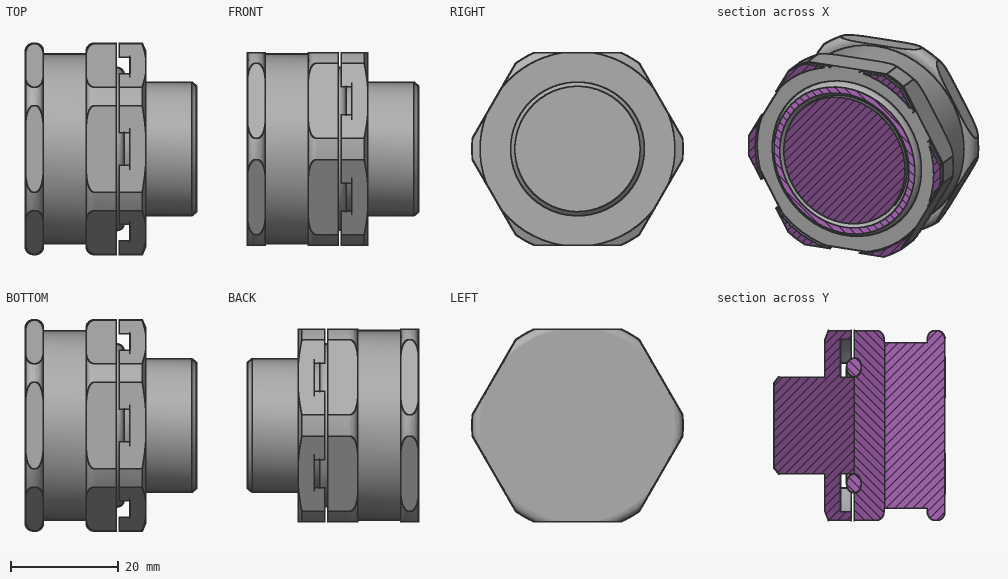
import cadquery as cq
import math

ACROSS_FLATS = 36.0
CORNER_DIAMETER = 39.48
CORNER_RADIUS = CORNER_DIAMETER / 2
CORNER_ROUND = 1.55

CAP_HEAD_END = 3.4
NUT_START = 11.37
NUT_END = 17.0
FITTING_HEX_START = 17.53
FITTING_HEX_END = 22.5
OVERALL_LENGTH = 32.0

CAP_BARREL_DIAMETER = 35.5

SPIGOT_DIAMETER = 25.0
SPIGOT_CHAMFER_LENGTH = 0.9
SPIGOT_CHAMFER_HEIGHT = 0.8
HEX_CHAMFER_LENGTH = 0.67
RECESS_DEPTH = 2.0
WINDOW_WIDTH = 6.08
RECESS_RADIUS = math.hypot(ACROSS_FLATS / 2, WINDOW_WIDTH / 2)

RING_OUTER_DIAMETER = 30.48
RING_SECTION_RADIUS = (RING_OUTER_DIAMETER - SPIGOT_DIAMETER) / 4
RING_CENTRE_RADIUS = SPIGOT_DIAMETER / 2 + RING_SECTION_RADIUS
RING_STATION = 17.1


def cylinder(start, end, radius):
    """Cylinder along X between two stations."""
    return cq.Workplane("YZ", origin=(start, 0, 0)).circle(radius).extrude(end - start)


def hexagon(start, end):
    """Sharp hexagonal prism along X with flats facing +Z and -Z."""
    across_corners = ACROSS_FLATS / math.cos(math.pi / 6)
    return cq.Workplane("YZ", origin=(start, 0, 0)).polygon(6, across_corners).extrude(end - start)


def make_cap():
    """Closed cap: a hexagonal head rounded at both ends and a plain barrel."""
    envelope = cylinder(0, CAP_HEAD_END, CORNER_RADIUS).edges("%CIRCLE").fillet(CORNER_ROUND)
    head = hexagon(0, CAP_HEAD_END).intersect(envelope)
    barrel = cylinder(CAP_HEAD_END, NUT_START, CAP_BARREL_DIAMETER / 2)
    return head.union(barrel)


def make_sealing_ring():
    """Ring of round section that fits the neck of the fitting."""
    torus = cq.Solid.makeTorus(
        RING_CENTRE_RADIUS, RING_SECTION_RADIUS, cq.Vector(RING_STATION, 0, 0), cq.Vector(1, 0, 0)
    )
    return cq.Workplane(torus)


def make_nut(seal):
    """Hexagonal nut, rounded on the side of the cap, with a groove for the seal on the other."""
    envelope = cylinder(NUT_START, NUT_END, CORNER_RADIUS).faces("<X").edges().fillet(CORNER_ROUND)
    return hexagon(NUT_START, NUT_END).intersect(envelope).cut(seal)


def make_fitting():
    """Chamfered hexagon on a spigot, with an annular recess that opens a window in each flat."""
    envelope = (
        cylinder(FITTING_HEX_START, FITTING_HEX_END, CORNER_RADIUS)
        .faces(">X")
        .chamfer(HEX_CHAMFER_LENGTH, CORNER_ROUND)
    )
    recess = cylinder(FITTING_HEX_START, FITTING_HEX_START + RECESS_DEPTH, RECESS_RADIUS)
    collar = hexagon(FITTING_HEX_START, FITTING_HEX_END).intersect(envelope).cut(recess)
    spigot = (
        cylinder(NUT_END, OVERALL_LENGTH, SPIGOT_DIAMETER / 2)
        .faces(">X")
        .chamfer(SPIGOT_CHAMFER_LENGTH, SPIGOT_CHAMFER_HEIGHT)
    )
    return collar.union(spigot)


cap = make_cap()
sealing_ring = make_sealing_ring()
nut = make_nut(sealing_ring)
fitting = make_fitting()

bodies = [cap, nut, fitting, sealing_ring]
result = cq.Compound.makeCompound([body.solids().val() for body in bodies])